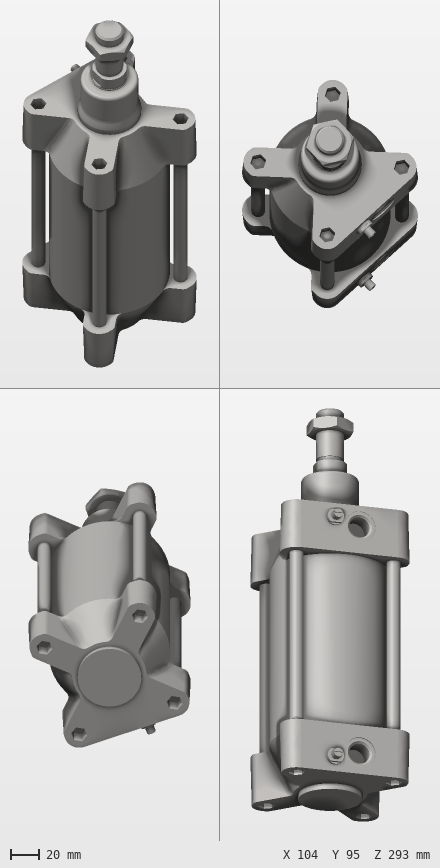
import cadquery as cq
import math

TOTAL_LENGTH = 293.0
BOSS_HEIGHT = 4.0
CAP_HEIGHT = 36.3
FRONT_FACE_Z = 207.0
SLEEVE_TOP_Z = 242.0
REAR_CAP_TOP_Z = BOSS_HEIGHT + CAP_HEIGHT
FRONT_CAP_BOTTOM_Z = FRONT_FACE_Z - CAP_HEIGHT

CAP_HALF = 47.5
TIE_ROD_PITCH = 72.0
CORNER = TIE_ROD_PITCH / 2
CORNER_RADIUS = CAP_HALF - CORNER
CAP_DRAFT = 1.5
ARM_FILLET = 5.3
NECK_RADIUS = 26.5
EDGE_SEARCH = 3.0
SOCKET_FLATS = 10.0
SOCKET_DEPTH = 11.7

BARREL_DIAMETER = 86.0
TIE_ROD_DIAMETER = 10.0
BOSS_DIAMETER = 45.0
SLEEVE_DIAMETER = 41.0
SLEEVE_FILLET = 2.3
FLARE_TOP_Z = 218.5
FLARE_MIDDLE_DIAMETER = 41.5
FLARE_MIDDLE_Z = 216.8
FLARE_LOWER_DIAMETER = 44.0
FLARE_LOWER_Z = 213.3
FLARE_BOTTOM_Z = 211.3
LIP_DIAMETER = 25.0
LIP_HEIGHT = 1.0

PORT_Y = -8.0
PORT_INSET = 15.8
PORT_SEAT_DIAMETER = 23.0
PORT_MOUTH_DIAMETER = 18.0
PORT_DIAMETER = 15.0
PORT_SEAT_DEPTH = 1.2
PORT_DEPTH = 14.6

SCREW_Y = 11.0
SCREW_INSET = 10.8
SCREW_REACH = 56.5
SCREW_COLLAR_REACH = 50.5
SCREW_DIAMETER = 6.5
SCREW_COLLAR_DIAMETER = 12.0
SCREW_COLLAR_FLATS = 9.5
SCREW_FLAT_LENGTH = 2.0
SCREW_SLOT_WIDTH = 1.0
SCREW_SLOT_DEPTH = 1.2
SCREW_EMBED = 3.0

ROD_DIAMETER = 24.3
ROD_FLATS = 22.0
ROD_SHOULDER_Z = 253.2
ROD_FLATS_BOTTOM_Z = 244.7
THREAD_DIAMETER = 20.0
THREAD_CHAMFER = 1.5
UNDERCUT_DIAMETER = 18.5
UNDERCUT_HEIGHT = 3.5

NUT_FLATS = 30.0
NUT_HEIGHT = 8.8
NUT_BOTTOM_Z = 276.0
NUT_CHAMFER_ANGLE = 30.0

HEX_CORNER_RATIO = 2 / math.sqrt(3)


def cylinder(diameter, z_bottom, z_top):
    return cq.Workplane("XY").workplane(offset=z_bottom).circle(diameter / 2).extrude(z_top - z_bottom)


def cylinder_along_x(diameter, x_start, x_end, y, z):
    plane = cq.Workplane("YZ", origin=(x_start, y, z))
    return plane.circle(diameter / 2).extrude(x_end - x_start)


def corner_points():
    return [(x, y) for x in (-CORNER, CORNER) for y in (-CORNER, CORNER)]


def edges_near(x, y, reach):
    """Selector for cap edges with their middle near (x, y), halfway between the two cap faces."""
    middle = CAP_HEIGHT / 2
    return cq.selectors.BoxSelector(
        (x - reach, y - reach, middle - EDGE_SEARCH),
        (x + reach, y + reach, middle + EDGE_SEARCH),
    )


def cap_arms():
    """Square plate with a V notch on three sides, drafted inward towards its outer face."""
    notch = CORNER_RADIUS * math.sqrt(2)
    tip = CAP_HALF - notch
    arc = CORNER_RADIUS / math.sqrt(2)
    outline = (
        cq.Workplane("XY")
        .moveTo(-CAP_HALF, -CORNER)
        .threePointArc((-CORNER - arc, -CORNER - arc), (-CORNER, -CAP_HALF))
        .lineTo(-tip, -CAP_HALF)
        .lineTo(0, -notch)
        .lineTo(tip, -CAP_HALF)
        .lineTo(CORNER, -CAP_HALF)
        .threePointArc((CORNER + arc, -CORNER - arc), (CAP_HALF, -CORNER))
        .lineTo(CAP_HALF, -tip)
        .lineTo(notch, 0)
        .lineTo(CAP_HALF, tip)
        .lineTo(CAP_HALF, CORNER)
        .threePointArc((CORNER + arc, CORNER + arc), (CORNER, CAP_HALF))
        .lineTo(tip, CAP_HALF)
        .lineTo(0, notch)
        .lineTo(-tip, CAP_HALF)
        .lineTo(-CORNER, CAP_HALF)
        .threePointArc((-CORNER - arc, CORNER + arc), (-CAP_HALF, CORNER))
        .close()
    )
    arms = outline.extrude(CAP_HEIGHT, taper=CAP_DRAFT)
    tip_corners = [
        (-tip, -CAP_HALF),
        (tip, -CAP_HALF),
        (CAP_HALF, -tip),
        (CAP_HALF, tip),
        (tip, CAP_HALF),
        (-tip, CAP_HALF),
    ]
    for x, y in tip_corners:
        arms = arms.edges(edges_near(x, y, EDGE_SEARCH)).fillet(ARM_FILLET)
    return arms


def cap_body():
    """Arms joined by a cone that narrows from the barrel to the outer face, with filleted roots."""
    cone = cq.Workplane(
        cq.Solid.makeCone(BARREL_DIAMETER / 2, NECK_RADIUS, CAP_HEIGHT)
    )
    body = cap_arms().union(cone)
    roots = body.edges(edges_near(0, 0, CORNER))
    return roots.fillet(ARM_FILLET)


def port_cutter():
    """Air port: shallow round seat, chamfered mouth and blind bore."""
    z = CAP_HEIGHT - PORT_INSET
    seat_x = PORT_SEAT_DEPTH - CAP_HALF
    chamfer = (PORT_MOUTH_DIAMETER - PORT_DIAMETER) / 2
    seat = cylinder_along_x(PORT_SEAT_DIAMETER, -CAP_HALF, seat_x, PORT_Y, z)
    bore = cylinder_along_x(PORT_DIAMETER, seat_x, seat_x + PORT_DEPTH, PORT_Y, z)
    mouth = cq.Workplane(
        cq.Solid.makeCone(
            PORT_MOUTH_DIAMETER / 2,
            PORT_DIAMETER / 2,
            chamfer,
            pnt=cq.Vector(seat_x, PORT_Y, z),
            dir=cq.Vector(1, 0, 0),
        )
    )
    return seat.union(bore).union(mouth)


def cushion_screw():
    """Slotted pin on a round collar that has two flats at its outer end."""
    z = CAP_HEIGHT - SCREW_INSET
    root_x = SCREW_EMBED - CAP_HALF
    collar = cylinder_along_x(SCREW_COLLAR_DIAMETER, -SCREW_COLLAR_REACH, root_x, SCREW_Y, z)
    flat_end = cylinder_along_x(
        SCREW_COLLAR_DIAMETER, -SCREW_COLLAR_REACH, SCREW_FLAT_LENGTH - SCREW_COLLAR_REACH, SCREW_Y, z
    )
    between_flats = cq.Workplane("XY").box(2 * SCREW_REACH, SCREW_COLLAR_DIAMETER, SCREW_COLLAR_FLATS)
    collar = collar.cut(flat_end.cut(between_flats.translate((0, SCREW_Y, z))))
    pin = cylinder_along_x(SCREW_DIAMETER, -SCREW_REACH, root_x, SCREW_Y, z)
    slot = cq.Workplane("XY").box(2 * SCREW_SLOT_DEPTH, 2 * SCREW_DIAMETER, SCREW_SLOT_WIDTH)
    pin = pin.cut(slot.translate((-SCREW_REACH, SCREW_Y, z)))
    return collar.union(pin)


def make_cap():
    """End cap standing on its barrel side at Z = 0, outer face up."""
    sockets = (
        cq.Workplane("XY").workplane(offset=CAP_HEIGHT - SOCKET_DEPTH)
        .pushPoints(corner_points())
        .polygon(6, SOCKET_FLATS * HEX_CORNER_RATIO)
        .extrude(SOCKET_DEPTH)
    )
    return cap_body().cut(sockets).cut(port_cutter()).union(cushion_screw())


def make_sleeve():
    """Guide sleeve on the front cap: flared foot, rounded rim and a thin wiper lip."""
    sleeve = (
        cq.Workplane("XZ")
        .polyline([
            (0, FRONT_FACE_Z),
            (BOSS_DIAMETER / 2, FRONT_FACE_Z),
            (BOSS_DIAMETER / 2, FLARE_BOTTOM_Z),
            (FLARE_LOWER_DIAMETER / 2, FLARE_LOWER_Z),
            (FLARE_MIDDLE_DIAMETER / 2, FLARE_MIDDLE_Z),
            (SLEEVE_DIAMETER / 2, FLARE_TOP_Z),
            (SLEEVE_DIAMETER / 2, SLEEVE_TOP_Z),
            (0, SLEEVE_TOP_Z),
        ])
        .close()
        .revolve(360, (0, 0), (0, 1))
    )
    sleeve = sleeve.faces(">Z").edges().fillet(SLEEVE_FILLET)
    return sleeve.union(cylinder(LIP_DIAMETER, SLEEVE_TOP_Z, SLEEVE_TOP_Z + LIP_HEIGHT))


def make_housing():
    """Barrel, both end caps, tie rods, rear boss and sleeve as one solid with a blind rod bore."""
    cap = make_cap()
    front_cap = cap.translate((0, 0, FRONT_CAP_BOTTOM_Z))
    rear_cap = cap.mirror("XY").translate((0, 0, REAR_CAP_TOP_Z))
    tie_rods = (
        cq.Workplane("XY").workplane(offset=REAR_CAP_TOP_Z)
        .pushPoints(corner_points())
        .circle(TIE_ROD_DIAMETER / 2)
        .extrude(FRONT_CAP_BOTTOM_Z - REAR_CAP_TOP_Z)
    )
    barrel = cylinder(BARREL_DIAMETER, REAR_CAP_TOP_Z, FRONT_CAP_BOTTOM_Z)
    boss = cylinder(BOSS_DIAMETER, 0, BOSS_HEIGHT)
    body = barrel.union(front_cap).union(rear_cap).union(tie_rods).union(boss).union(make_sleeve())
    return body.cut(cylinder(ROD_DIAMETER, FRONT_FACE_Z, SLEEVE_TOP_Z + LIP_HEIGHT))


def make_rod():
    """Piston rod with two wrench flats ending in 45 degree ramps, an undercut and a plain thread."""
    shank = cylinder(ROD_DIAMETER, FRONT_FACE_Z, ROD_SHOULDER_Z)
    flat_y = ROD_FLATS / 2
    ramp_end_y = ROD_DIAMETER / 2
    ramp_end_z = ROD_FLATS_BOTTOM_Z - (ramp_end_y - flat_y)
    flat_cutter = (
        cq.Workplane("YZ", origin=(-ROD_DIAMETER, 0, 0))
        .polyline([
            (flat_y, ROD_FLATS_BOTTOM_Z),
            (ramp_end_y, ramp_end_z),
            (ROD_DIAMETER, ramp_end_z),
            (ROD_DIAMETER, ROD_SHOULDER_Z),
            (flat_y, ROD_SHOULDER_Z),
        ])
        .close()
        .extrude(2 * ROD_DIAMETER)
    )
    flats = flat_cutter.union(flat_cutter.mirror("XZ"))
    undercut = cylinder(UNDERCUT_DIAMETER, ROD_SHOULDER_Z, ROD_SHOULDER_Z + UNDERCUT_HEIGHT)
    thread = cylinder(THREAD_DIAMETER, ROD_SHOULDER_Z + UNDERCUT_HEIGHT, TOTAL_LENGTH)
    thread = thread.faces(">Z").chamfer(THREAD_CHAMFER)
    return shank.cut(flats).union(undercut).union(thread)


def make_nut():
    """Hexagon nut with corners towards +X and -X, chamfered by cones at both ends."""
    corner_r = NUT_FLATS * HEX_CORNER_RATIO / 2
    face_r = NUT_FLATS / 2
    drop = (corner_r - face_r) * math.tan(math.radians(NUT_CHAMFER_ANGLE))
    hexagon = cq.Workplane("XY").polygon(6, 2 * corner_r).extrude(NUT_HEIGHT)
    envelope = (
        cq.Workplane("XZ")
        .polyline([
            (0, 0),
            (face_r, 0),
            (corner_r, drop),
            (corner_r, NUT_HEIGHT - drop),
            (face_r, NUT_HEIGHT),
            (0, NUT_HEIGHT),
        ])
        .close()
        .revolve(360, (0, 0), (0, 1))
    )
    nut = hexagon.intersect(envelope).cut(cylinder(THREAD_DIAMETER, 0, NUT_HEIGHT))
    return nut.translate((0, 0, NUT_BOTTOM_Z))


housing = make_housing()
rod = make_rod()
nut = make_nut()

result = cq.Compound.makeCompound([housing.val(), rod.val(), nut.val()])